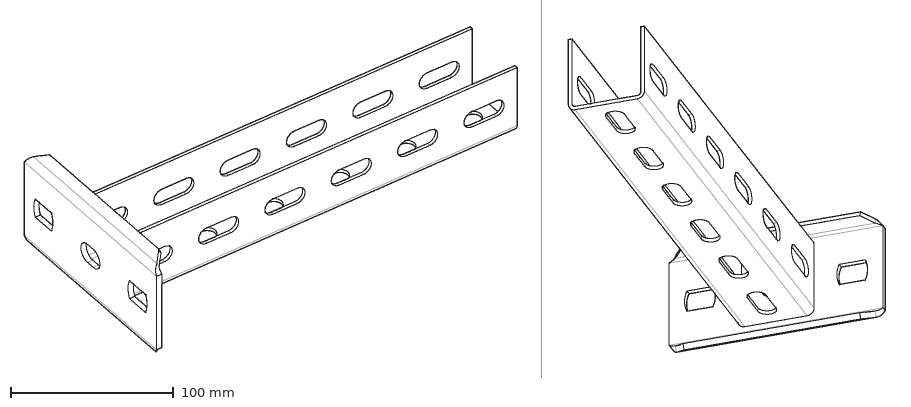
import cadquery as cq
import math


total_length = 304.0
plate_width = 140.0
plate_height = 74.8

plate_thickness = 4.0
bend_outer_radius = 6.0
bend_angle = 65.0
lip_length = 7.5
plate_hole_length = 20.0
plate_hole_height = 14.0
plate_hole_pitch = 50.0
plate_hole_bulge = 1.5

bend_inner_radius = bend_outer_radius - plate_thickness
bend_middle_radius = (bend_outer_radius + bend_inner_radius) / 2
bend_radians = math.radians(bend_angle)
lip_rise = bend_outer_radius * math.sin(bend_radians) + lip_length * math.cos(bend_radians)
web_half_height = plate_height / 2 - lip_rise

bend_inset = bend_middle_radius * bend_radians

channel_width = 50.0
channel_height = 50.0
channel_thickness = 2.5
channel_outer_radius = 4.5
slot_length = 30.0
slot_width = 12.0
slot_count = 6

channel_inner_radius = channel_outer_radius - channel_thickness
channel_length = total_length - plate_thickness
slot_pitch = channel_length / slot_count

clearance = 3.0


def bend_point(radius, angle, along=0.0):
    """Point (y, z) at an angle around the upper bend, moved along its tangent."""
    y = bend_outer_radius - radius * math.cos(angle) + along * math.sin(angle)
    z = web_half_height + radius * math.sin(angle) + along * math.cos(angle)
    return y, z


def lip_profile():
    """Section of the upper bend and lip in the YZ plane."""
    middle = bend_radians / 2
    return (
        cq.Workplane("YZ")
        .moveTo(*bend_point(bend_outer_radius, 0))
        .threePointArc(bend_point(bend_outer_radius, middle), bend_point(bend_outer_radius, bend_radians))
        .lineTo(*bend_point(bend_outer_radius, bend_radians, lip_length))
        .lineTo(*bend_point(bend_inner_radius, bend_radians, lip_length))
        .lineTo(*bend_point(bend_inner_radius, bend_radians))
        .threePointArc(bend_point(bend_inner_radius, middle), bend_point(bend_inner_radius, 0))
        .close()
    )


def bend_corner_cutter():
    """Twisted tool at the -X end: its leading radial face turns from web to lip over the bend inset."""
    near = bend_inner_radius / 2
    far = bend_outer_radius + clearance
    bend_axis_plane = cq.Plane(
        origin=(-plate_width / 2, bend_outer_radius, web_half_height), xDir=(0, 1, 0), normal=(1, 0, 0)
    )
    return (
        cq.Workplane(bend_axis_plane)
        .polyline([(-near, 0), (-far, 0), (-far, far), (0, far), (0, near)])
        .close()
        .twistExtrude(bend_inset, -bend_angle)
    )


def lip_corner_cutter():
    """45 degree tool at the -X end, square to the lip and starting where the bend ends."""
    lip_plane = cq.Plane(
        origin=(-plate_width / 2, *bend_point(bend_outer_radius + clearance, bend_radians)),
        xDir=(1, 0, 0),
        normal=(0, -math.cos(bend_radians), math.sin(bend_radians)),
    )
    reach = lip_length + clearance
    return (
        cq.Workplane(lip_plane)
        .polyline([(-clearance, 0), (bend_inset, 0), (bend_inset + reach, reach), (-clearance, reach)])
        .close()
        .extrude(-(plate_thickness + 2 * clearance))
    )


def make_lip():
    """Upper bend and lip with both corners cut."""
    lip = lip_profile().extrude(plate_width / 2, both=True)
    for cutter in (bend_corner_cutter(), lip_corner_cutter()):
        lip = lip.cut(cutter).cut(cutter.mirror("YZ"))
    return lip


def plate_hole_tools():
    """Round-ended centre hole and two outer holes with shallow arched ends."""
    half_height = plate_hole_height / 2
    half_length = plate_hole_length / 2
    half_edge = half_length - plate_hole_bulge
    depth = plate_thickness + clearance
    centre = cq.Workplane("XZ").slot2D(plate_hole_length, plate_hole_height).extrude(-depth)
    outer = (
        cq.Workplane("XZ")
        .moveTo(-half_edge, -half_height)
        .lineTo(half_edge, -half_height)
        .threePointArc((half_length, 0), (half_edge, half_height))
        .lineTo(-half_edge, half_height)
        .threePointArc((-half_length, 0), (-half_edge, -half_height))
        .close()
        .extrude(-depth)
    )
    return [centre] + [outer.translate((side * plate_hole_pitch, 0, 0)) for side in (-1, 1)]


def make_end_plate():
    """Flat web with a lip bent back along its upper and lower edges."""
    web = cq.Workplane("XY").box(plate_width, plate_thickness, 2 * web_half_height)
    web = web.translate((0, plate_thickness / 2, 0))
    lip = make_lip()
    plate = web.union(lip).union(lip.mirror("XY"))
    for tool in plate_hole_tools():
        plate = plate.cut(tool)
    return plate


def make_channel():
    """U-shaped channel with a row of slots in its floor and in both walls."""
    outer = (
        cq.Workplane("XY")
        .box(channel_width, channel_length, channel_height)
        .edges("|Y and <Z")
        .fillet(channel_outer_radius)
    )
    inner = (
        cq.Workplane("XY")
        .box(channel_width - 2 * channel_thickness, channel_length, channel_height)
        .edges("|Y and <Z")
        .fillet(channel_inner_radius)
        .translate((0, 0, channel_thickness))
    )
    slot_places = [(i - (slot_count - 1) / 2) * slot_pitch for i in range(slot_count)]
    floor_slots = (
        cq.Workplane("XY")
        .pushPoints([(0, y) for y in slot_places])
        .slot2D(slot_length, slot_width, 90)
        .extrude(-channel_height)
    )
    wall_slots = (
        cq.Workplane("YZ")
        .pushPoints([(y, 0) for y in slot_places])
        .slot2D(slot_length, slot_width)
        .extrude(channel_width, both=True)
    )
    channel = outer.cut(inner).cut(floor_slots).cut(wall_slots)
    return channel.translate((0, plate_thickness + channel_length / 2, 0))


end_plate = make_end_plate()
channel = make_channel()

result = cq.Compound.makeCompound([end_plate.solids().val(), channel.solids().val()])